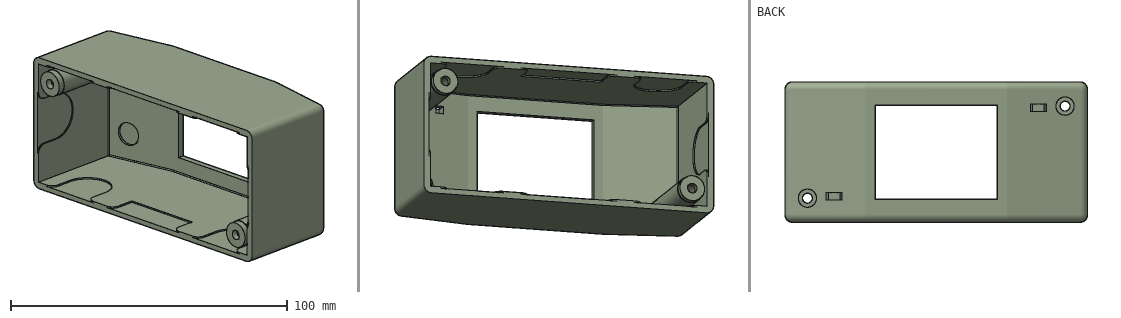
import cadquery as cq
import math

width = 109.5
height = 50.91
total_depth = 45.7
back_y = 44.1
shoulder_y = 38.7
fold_x = 25.75
wall = 2.5
cut_margin = wall
outer_radius = 2.8
cavity_edge_chamfer = 0.4
back_slope = (back_y - shoulder_y) / (width / 2 - fold_x)
back_angle = math.atan(back_slope)

window_width = 44.0
window_height = 33.9

pillar_x = 46.6
pillar_z = 16.65
pillar_front_y = 0.0
pillar_radius = 4.8
collar_radius = 4.65
collar_length = 2.5
screw_hole_radius = 1.75
head_bore_radius = 3.3

pocket_x = -43.9
pocket_z = -12.75
pocket_radius = 4.35
pocket_depth = 1.0

loop_x = 36.9
loop_z = 16.0
loop_height = 2.7
loop_top_half_width = 2.05
loop_side_slope = 0.24
loop_bar = 1.4
slot_top_half_width = 1.15
slot_side_slope = 0.07

recess_depth = 0.55
recess_foot_radius = 3.0
round_recess_radius = 8.8
round_recess_depth = 18.0
round_recess_x = 36.6
long_recess_half_width = 15.1
long_recess_depth = 10.0


def outer_back_y(x):
    """Y of the outside of a sloping back facet."""
    return back_y - (abs(x) - fold_x) * back_slope


def house_profile(inset):
    """Outline in the XY plane, moved inwards by the inset on the sides and back."""
    half_width = width / 2 - inset
    inner_fold = fold_x - inset * math.tan(back_angle / 2)
    inner_back = back_y - inset
    inner_shoulder = inner_back - (half_width - inner_fold) * back_slope
    return (
        cq.Workplane("XY")
        .moveTo(-half_width, 0)
        .lineTo(half_width, 0)
        .lineTo(half_width, inner_shoulder)
        .lineTo(inner_fold, inner_back)
        .lineTo(-inner_fold, inner_back)
        .lineTo(-half_width, inner_shoulder)
        .close()
    )


def cylinder_y(x, z, radius, y_start, y_end):
    """Solid cylinder along the Y axis."""
    return cq.Workplane("XZ", origin=(x, y_start, z)).circle(radius).extrude(y_start - y_end)


def make_outer_body():
    """Outer block, rounded everywhere except at the front rim and the two back folds."""
    body = house_profile(0).extrude(height / 2, both=True)
    return body.edges("(not <Y) and (not (|Z and >Y))").fillet(outer_radius)


def make_cavity():
    """Inner space, bevelled where the walls meet the back facets."""
    cavity = house_profile(wall).extrude(height / 2 - wall, both=True)
    back_rim = cavity.edges("(not <Y) and (not |Y) and (not (|Z and >Y))")
    return back_rim.chamfer(cavity_edge_chamfer)


def recess_outline(half_width, straight_y):
    """Open outline in the XY plane: flared left foot at the rim, then the straight left side."""
    r = recess_foot_radius
    bow = r * math.sqrt(0.5)
    return (
        cq.Workplane("XY")
        .moveTo(-half_width - r, 0)
        .threePointArc((-half_width - r + bow, r - bow), (-half_width, r))
        .lineTo(-half_width, straight_y)
    )


def close_recess(outline, half_width):
    """Finish a recess outline down its straight right side and flared right foot."""
    r = recess_foot_radius
    bow = r * math.sqrt(0.5)
    return (
        outline.lineTo(half_width, r)
        .threePointArc((half_width + r - bow, r - bow), (half_width + r, 0))
        .close()
        .extrude(recess_depth)
    )


def round_recess():
    """Thumb-shaped recess cutter, standing on the XY plane and centred on X = 0."""
    straight_y = round_recess_depth - round_recess_radius
    outline = recess_outline(round_recess_radius, straight_y)
    outline = outline.threePointArc((0, round_recess_depth), (round_recess_radius, straight_y))
    return close_recess(outline, round_recess_radius)


def long_recess():
    """Straight-backed recess cutter, standing on the XY plane and centred on X = 0."""
    outline = recess_outline(long_recess_half_width, long_recess_depth)
    outline = outline.lineTo(long_recess_half_width, long_recess_depth)
    return close_recess(outline, long_recess_half_width)


def cut_recesses(body):
    """Three recesses in the top and bottom walls, one in each end wall."""
    top_wall_z = height / 2 - wall
    end_wall_x = width / 2 - wall
    cutters = [long_recess()]
    for side in (-1, 1):
        cutters.append(round_recess().translate((side * round_recess_x, 0, 0)))
    for cutter in cutters:
        upper = cutter.translate((0, 0, top_wall_z))
        body = body.cut(upper).cut(upper.mirror("XY"))
    right = round_recess().rotate((0, 0, 0), (0, 1, 0), 90).translate((end_wall_x, 0, 0))
    return body.cut(right).cut(right.mirror("YZ"))


def add_pillar(body, outer_block, x, z):
    """Screw pillar with a slimmer collar, a screw hole and a head bore from the back."""
    collar_end_y = pillar_front_y + collar_length
    shaft = cylinder_y(x, z, pillar_radius, collar_end_y, back_y).intersect(outer_block)
    collar = cylinder_y(x, z, collar_radius, pillar_front_y, collar_end_y)
    screw_hole = cylinder_y(x, z, screw_hole_radius, 0, back_y)
    head_bore = cylinder_y(x, z, head_bore_radius, collar_end_y, back_y)
    return body.union(shaft).union(collar).cut(screw_hole).cut(head_bore)


def loop_prism(x, z, top_y, bottom_y, top_half_width, side_slope):
    """Trapezoidal prism along Z that widens from top_y down to bottom_y."""
    bottom_half_width = top_half_width + side_slope * (top_y - bottom_y)
    corners = [
        (x - top_half_width, top_y),
        (x + top_half_width, top_y),
        (x + bottom_half_width, bottom_y),
        (x - bottom_half_width, bottom_y),
    ]
    base = cq.Workplane("XY", origin=(0, 0, z))
    return base.polyline(corners).close().extrude(loop_height / 2, both=True)


def add_loop(body, x, z):
    """Strap loop over a slot that passes through the back wall."""
    middle_y = outer_back_y(x)
    slot_top_y = total_depth - loop_bar
    loop_root_y = middle_y - wall / 2
    loop = loop_prism(x, z, total_depth, loop_root_y, loop_top_half_width, loop_side_slope)
    slot_end_y = middle_y - wall - cut_margin
    slot = loop_prism(x, z, slot_top_y, slot_end_y, slot_top_half_width, slot_side_slope)
    return body.union(loop).cut(slot)


def inner_pocket():
    """Cutter for the blind pocket, square to the left back facet and centred on its inside."""
    inside_y = outer_back_y(pocket_x) - wall / math.cos(back_angle)
    normal = cq.Vector(-math.sin(back_angle), math.cos(back_angle), 0)
    plane = cq.Plane(origin=(pocket_x, inside_y, pocket_z), xDir=(0, 0, 1), normal=normal)
    return cq.Workplane(plane).circle(pocket_radius).extrude(pocket_depth)


def window_cutter():
    """Block that cuts the display window through the flat middle of the back."""
    length = wall + 2 * cut_margin
    centre = (0, back_y - wall / 2, 0)
    return cq.Workplane("XY", origin=centre).box(window_width, length, window_height)


def make_housing():
    """Hollow the outer block, then add the pillars and strap loops."""
    outer_block = make_outer_body()
    body = outer_block.cut(make_cavity())
    body = cut_recesses(body)
    body = body.cut(inner_pocket())
    body = body.cut(window_cutter())
    for side in (-1, 1):
        body = add_pillar(body, outer_block, side * pillar_x, -side * pillar_z)
        body = add_loop(body, side * loop_x, -side * loop_z)
    return body


result = make_housing()